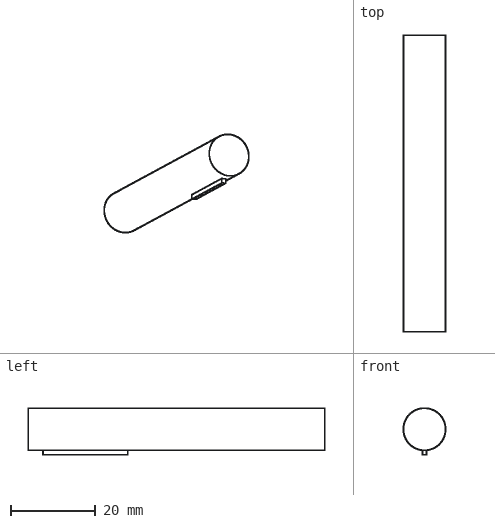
import cadquery as cq

pin_length = 69.85
pin_diameter = 10.0
pin_radius = pin_diameter / 2

overall_height = 11.0
key_width = 1.0
key_length = 20.0
key_end_gap = 3.5


def make_pin():
    """Solid cylinder centred on the origin with its axis along Y."""
    return cq.Workplane("XZ").circle(pin_radius).extrude(pin_length / 2, both=True)


def make_key():
    """Bar reaching from the pin axis down past the pin surface, so it fuses fully."""
    key_bottom = pin_radius - overall_height
    key_center_y = pin_length / 2 - key_end_gap - key_length / 2
    return (
        cq.Workplane("XY", origin=(0, key_center_y, key_bottom))
        .rect(key_width, key_length)
        .extrude(-key_bottom)
    )


result = make_pin().union(make_key())